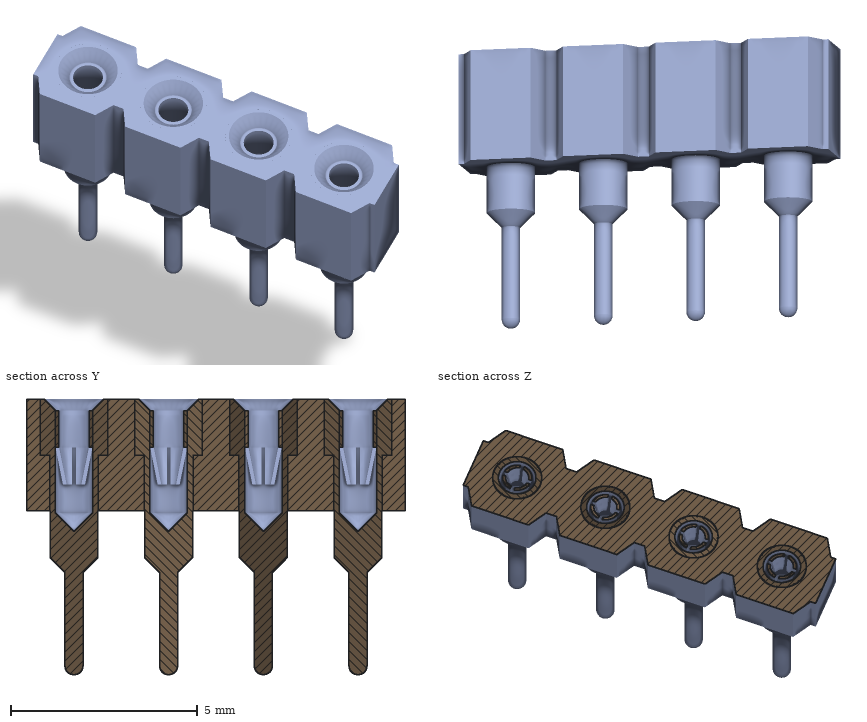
import cadquery as cq
import math

socket_count = 4
pitch = 2.54
row_length = socket_count * pitch
socket_positions = [(i + 0.5) * pitch - row_length / 2 for i in range(socket_count)]

housing_height = 3.0
housing_width = pitch
waist_width = 1.5
cell_face_length = 1.65
flank_angle = 60.0
flank_run = (housing_width - waist_width) / 2 / math.tan(math.radians(flank_angle))

head_diameter = 1.8
head_length = housing_height / 2
barrel_diameter = 1.3
barrel_projection = 1.25
tail_diameter = 0.5
sleeve_length = 7.4
tail_tip_z = housing_height - sleeve_length
tail_tip_radius = 0.24
shoulder_height = (barrel_diameter - tail_diameter) / 2

funnel_top_diameter = 1.6
bore_diameter = 1.0
funnel_depth = (funnel_top_diameter - bore_diameter) / 2
bore_depth = 3.05
bore_point_angle = 45.0

clip_inner_diameter = 0.8
clip_wall = (bore_diameter - clip_inner_diameter) / 2
clip_top_z = housing_height - funnel_depth
collar_length = 1.0
finger_length = 1.0
finger_tip_diameter = 0.41
slot_width = 0.1


def cell_prism(x):
    """Bevelled housing block around one socket."""
    face_half = cell_face_length / 2
    foot_half = face_half + flank_run
    outer = housing_width / 2
    waist = waist_width / 2
    outline = [
        (face_half, outer),
        (foot_half, waist),
        (foot_half, -waist),
        (face_half, -outer),
        (-face_half, -outer),
        (-foot_half, -waist),
        (-foot_half, waist),
        (-face_half, outer),
    ]
    return cq.Workplane("XY").center(x, 0).polyline(outline).close().extrude(housing_height)


def make_housing():
    """Waisted bar with one bevelled cell and one stepped hole per socket."""
    housing = cq.Workplane("XY").rect(row_length, waist_width).extrude(housing_height)
    for x in socket_positions:
        housing = housing.union(cell_prism(x))
    centres = [(x, 0) for x in socket_positions]
    top = housing.faces(">Z").workplane(origin=(0, 0, housing_height))
    return top.pushPoints(centres).cboreHole(barrel_diameter, head_diameter, head_length)


def make_sleeve():
    """Turned sleeve with a funnel, a blind bore and a round-ended tail."""
    head_radius = head_diameter / 2
    barrel_radius = barrel_diameter / 2
    tail_radius = tail_diameter / 2
    bore_radius = bore_diameter / 2
    head_bottom_z = housing_height - head_length
    bore_foot_z = housing_height - bore_depth
    bore_point_z = bore_foot_z - bore_radius * math.tan(math.radians(bore_point_angle))
    shoulder_top_z = -barrel_projection
    profile = [
        (0, bore_point_z),
        (bore_radius, bore_foot_z),
        (bore_radius, clip_top_z),
        (funnel_top_diameter / 2, housing_height),
        (head_radius, housing_height),
        (head_radius, head_bottom_z),
        (barrel_radius, head_bottom_z),
        (barrel_radius, shoulder_top_z),
        (tail_radius, shoulder_top_z - shoulder_height),
        (tail_radius, tail_tip_z),
        (0, tail_tip_z),
    ]
    sleeve = cq.Workplane("XZ").polyline(profile).close().revolve(360, (0, 0), (0, 1))
    return sleeve.faces("<Z").edges().fillet(tail_tip_radius)


def make_clip():
    """Thin collar with four fingers that converge downwards."""
    outer_radius = bore_diameter / 2
    inner_radius = clip_inner_diameter / 2
    tip_radius = finger_tip_diameter / 2
    finger_root_z = clip_top_z - collar_length
    finger_tip_z = finger_root_z - finger_length
    profile = [
        (inner_radius, clip_top_z),
        (outer_radius, clip_top_z),
        (outer_radius, finger_root_z),
        (tip_radius + clip_wall, finger_tip_z),
        (tip_radius, finger_tip_z),
        (inner_radius, finger_root_z),
    ]
    clip = cq.Workplane("XZ").polyline(profile).close().revolve(360, (0, 0), (0, 1))
    slots = cq.Workplane("XY", origin=(0, 0, finger_tip_z))
    slot_x = slots.rect(bore_diameter, slot_width).extrude(finger_length)
    slot_y = slots.rect(slot_width, bore_diameter).extrude(finger_length)
    return clip.cut(slot_x).cut(slot_y)


housing = make_housing()
sleeves = [make_sleeve().translate((x, 0, 0)) for x in socket_positions]
clips = [make_clip().translate((x, 0, 0)) for x in socket_positions]

result = cq.Compound.makeCompound(
    [housing.val()] + [sleeve.val() for sleeve in sleeves] + [clip.val() for clip in clips]
)